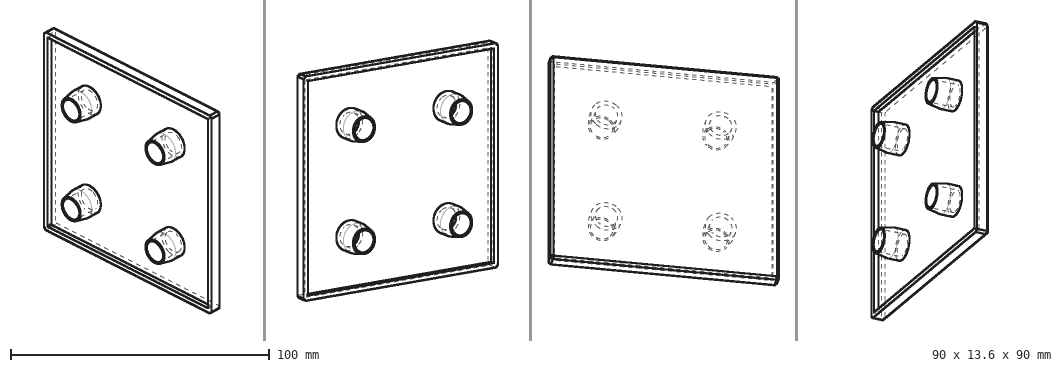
import cadquery as cq

plate_side = 90.0
plate_thickness = 5.4
edge_chamfer = 1.0

rim_width = 2.0
recess_depth = 2.0
recess_side = plate_side - 2 * rim_width

overall_depth = 13.6
peg_spacing = 45.0
peg_diameter = 12.2
peg_tip_diameter = 10.2
bore_diameter = 8.8
taper_length = 5.2
peg_height = overall_depth - plate_thickness + recess_depth

floor_y = recess_depth


def make_plate():
    """Square plate with chamfered corners and outer edges, recessed on its open face."""
    plate = cq.Workplane("XY").box(
        plate_side, plate_thickness, plate_side, centered=(True, False, True)
    )
    plate = plate.edges("|Y").chamfer(edge_chamfer)
    plate = plate.faces(">Y").edges().chamfer(edge_chamfer)
    recess = cq.Workplane("XY").box(
        recess_side, recess_depth, recess_side, centered=(True, False, True)
    )
    return plate.cut(recess)


def make_peg(x, z):
    """Tubular peg along -Y with a tapered tip, its bore ending at the recess floor."""
    bore_radius = bore_diameter / 2
    peg_radius = peg_diameter / 2
    tip_radius = peg_tip_diameter / 2
    tip_y = floor_y - peg_height
    profile = (
        cq.Workplane("YZ")
        .moveTo(floor_y, bore_radius)
        .lineTo(floor_y, peg_radius)
        .lineTo(tip_y + taper_length, peg_radius)
        .lineTo(tip_y, tip_radius)
        .lineTo(tip_y, bore_radius)
        .close()
    )
    peg = profile.revolve(360, (0, 0, 0), (1, 0, 0))
    return peg.translate((x, 0, z))


result = make_plate()
for x in (-peg_spacing / 2, peg_spacing / 2):
    for z in (-peg_spacing / 2, peg_spacing / 2):
        result = result.union(make_peg(x, z))